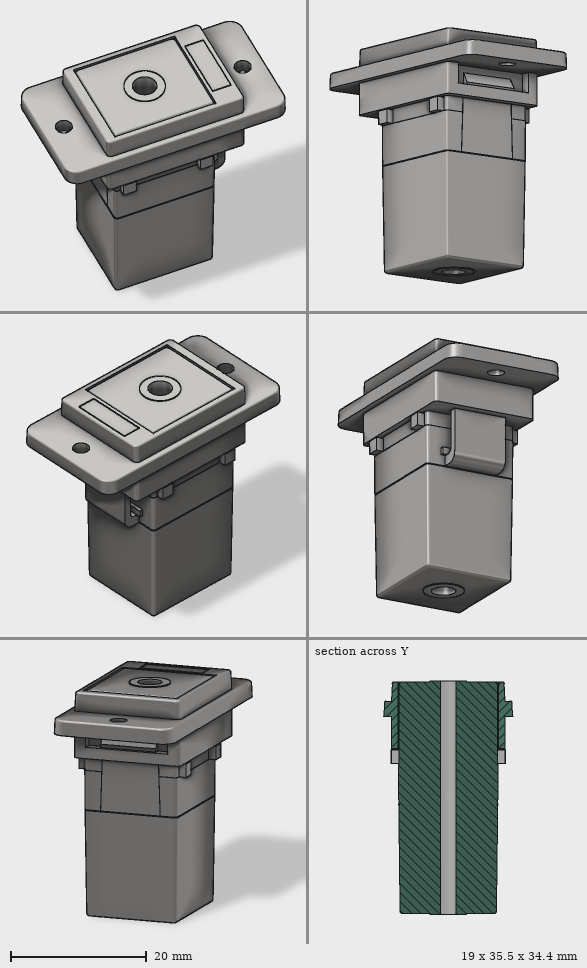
import cadquery as cq
import math


PLATE_LENGTH = 35.5
PLATE_WIDTH = 19.0
PLATE_THICKNESS = 2.27
PLATE_CORNER_RADIUS = 2.05
SIDE_DRAFT = 3.0
RIM_FILLET = 0.3
SCREW_HOLE_DIAMETER = 2.5
SCREW_HOLE_OFFSET = 14.45

HOUSING_WIDTH = 16.75
HOUSING_LENGTH = 22.15
HOUSING_CORNER_RADIUS = 0.7
BEZEL_TOP = 5.1
BOX_BOTTOM = -4.75
LABEL_WIDTH = 9.87
LABEL_LENGTH = 2.98
LABEL_CENTER_Y = 8.85
LABEL_DEPTH = 0.15
WINDOW_WIDTH = 12.92
WINDOW_HEIGHT = 3.05

INSERT_CENTER_Y = -1.4
NECK_WIDTH = 14.55
NECK_LENGTH = 16.2
NECK_CLEARANCE = 0.07
NECK_BOTTOM = -6.92
SEAM_Z = -13.0
SEAM_HEIGHT = 0.1
SEAM_DEPTH = 0.07
UPPER_BOTTOM = SEAM_Z + SEAM_HEIGHT
INSERT_BOTTOM = -29.0
BODY_WIDTH = 14.63
BODY_LENGTH = 16.2
UPPER_DRAFT = 0.3
LOWER_DRAFT = 0.7
INSERT_CORNER_RADIUS = 0.55
INSERT_BOTTOM_FILLET = 0.5
BORE_DIAMETER = 3.6
BOSS_DIAMETER = 6.1
BOSS_HEIGHT = 0.15

PANEL_BOTTOM_WIDTH = 9.37
PANEL_TOP_WIDTH = 8.6
PANEL_HEIGHT = 0.05
HOOK_TOP = -1.03
HOOK_RAMP_BOTTOM = -2.55
HOOK_DEPTH = 0.9

STOP_SPAN = 16.83
STOP_LENGTH = 2.05
STOP_SPACING = 12.42
STOP_TOP = -4.9

LATCH_WIDTH = 8.52
LATCH_OUTER_Y = 9.62
LATCH_THICKNESS = 1.15
LATCH_ARM_HEIGHT = 1.65
LATCH_TOP = 0.0
LATCH_OUTER_RADIUS = 1.53
LATCH_INNER_RADIUS = 0.8
LATCH_STOP_HEIGHT = 1.05
LATCH_STOP_LENGTH = 0.57
LATCH_STOP_WIDTH = 9.95


def block(width, length, bottom, top, center_y=0.0):
    """Upright rectangular block between two heights."""
    return (
        cq.Workplane("XY", origin=(0, center_y, bottom))
        .rect(width, length)
        .extrude(top - bottom)
    )


def side_drafted_block(width, length, bottom, top, corner_radius):
    """Rounded block whose two X sides lean inward towards the top."""
    half_bottom = width / 2
    half_top = half_bottom - (top - bottom) * math.tan(math.radians(SIDE_DRAFT))
    outline = [(-half_bottom, bottom), (half_bottom, bottom), (half_top, top), (-half_top, top)]
    body = cq.Workplane("XZ").polyline(outline).close().extrude(length / 2, both=True)
    body = body.edges("(not #Z) and (not |Y)").fillet(corner_radius)
    return body.faces(">Z").edges().fillet(RIM_FILLET)


def drafted_size(seam_size, z, draft):
    """Width or length of the insert body at height z; it shrinks downward."""
    return seam_size + 2 * (z - SEAM_Z) * math.tan(math.radians(draft))


def drafted_body(bottom, top, draft, inset=0.0):
    """Stretch of the drafted insert body, with rounded upright edges."""
    width = drafted_size(BODY_WIDTH, top, draft) - 2 * inset
    length = drafted_size(BODY_LENGTH, top, draft) - 2 * inset
    return (
        cq.Workplane("XY", origin=(0, INSERT_CENTER_Y, top))
        .rect(width, length)
        .extrude(bottom - top, taper=draft)
        .edges("not #Z")
        .fillet(INSERT_CORNER_RADIUS)
    )


def make_housing():
    """Mounting plate with its bezel and box, opened for the insert."""
    box = block(HOUSING_WIDTH, HOUSING_LENGTH, BOX_BOTTOM, PLATE_THICKNESS)
    box = box.edges("|Z").fillet(HOUSING_CORNER_RADIUS)
    plate = side_drafted_block(PLATE_WIDTH, PLATE_LENGTH, 0, PLATE_THICKNESS, PLATE_CORNER_RADIUS)
    bezel = side_drafted_block(
        HOUSING_WIDTH, HOUSING_LENGTH, PLATE_THICKNESS, BEZEL_TOP, HOUSING_CORNER_RADIUS
    )
    housing = plate.union(box).union(bezel)

    screw_holes = (
        cq.Workplane("XY")
        .pushPoints([(0, -SCREW_HOLE_OFFSET), (0, SCREW_HOLE_OFFSET)])
        .circle(SCREW_HOLE_DIAMETER / 2)
        .extrude(PLATE_THICKNESS)
    )

    opening_width = NECK_WIDTH + 2 * NECK_CLEARANCE
    opening_length = NECK_LENGTH + 2 * NECK_CLEARANCE
    opening = block(opening_width, opening_length, BOX_BOTTOM, BEZEL_TOP, INSERT_CENTER_Y)
    opening = opening.edges("|Z").fillet(INSERT_CORNER_RADIUS)
    square_rim = block(
        opening_width, opening_length, BEZEL_TOP - INSERT_CORNER_RADIUS, BEZEL_TOP, INSERT_CENTER_Y
    )
    opening = opening.union(square_rim)

    label_recess = block(LABEL_WIDTH, LABEL_LENGTH, BEZEL_TOP - LABEL_DEPTH, BEZEL_TOP, LABEL_CENTER_Y)
    latch_slot = block(
        LATCH_WIDTH, LATCH_THICKNESS, BOX_BOTTOM, LATCH_TOP, LATCH_OUTER_Y - LATCH_THICKNESS / 2
    )

    window_length = HOUSING_LENGTH / 2 + INSERT_CENTER_Y
    window = block(
        WINDOW_WIDTH, window_length, -WINDOW_HEIGHT, 0, INSERT_CENTER_Y - window_length / 2
    )
    return housing.cut(screw_holes).cut(opening).cut(label_recess).cut(latch_slot).cut(window)


def make_front_panel():
    """Raised front panel, narrowing upward, that ends in a ramped hook.

    The hook rests on the lower edge of the housing window.
    """
    drafted_front = INSERT_CENTER_Y - PANEL_HEIGHT
    neck_front = INSERT_CENTER_Y - NECK_LENGTH / 2
    hook_front = neck_front - HOOK_DEPTH
    panel_profile = [
        (INSERT_CENTER_Y, UPPER_BOTTOM),
        (drafted_front - drafted_size(BODY_LENGTH, UPPER_BOTTOM, UPPER_DRAFT) / 2, UPPER_BOTTOM),
        (drafted_front - drafted_size(BODY_LENGTH, BOX_BOTTOM, UPPER_DRAFT) / 2, BOX_BOTTOM),
        (INSERT_CENTER_Y, BOX_BOTTOM),
    ]
    hook_profile = [
        (INSERT_CENTER_Y, HOOK_TOP),
        (neck_front, HOOK_TOP),
        (hook_front, HOOK_RAMP_BOTTOM),
        (hook_front, -WINDOW_HEIGHT),
        (INSERT_CENTER_Y, -WINDOW_HEIGHT),
    ]
    half_bottom = PANEL_BOTTOM_WIDTH / 2
    half_top = PANEL_TOP_WIDTH / 2
    outline = [
        (-half_bottom, UPPER_BOTTOM),
        (half_bottom, UPPER_BOTTOM),
        (half_top, HOOK_TOP),
        (-half_top, HOOK_TOP),
    ]
    panel = cq.Workplane("YZ").polyline(panel_profile).close().extrude(half_bottom, both=True)
    hook = cq.Workplane("YZ").polyline(hook_profile).close().extrude(half_bottom, both=True)
    tapered_outline = cq.Workplane("XZ").polyline(outline).close().extrude(HOUSING_LENGTH / 2)
    return panel.union(hook).intersect(tapered_outline)


def make_side_stops():
    """Two stops on each side, just below the housing box."""
    stops = block(STOP_SPAN, STOP_LENGTH, NECK_BOTTOM, STOP_TOP, INSERT_CENTER_Y - STOP_SPACING / 2)
    return stops.union(stops.translate((0, STOP_SPACING, 0)))


def make_spring_latch():
    """L-shaped latch that leaves the back just above the seam and rises into the housing."""
    latch_inner_y = LATCH_OUTER_Y - LATCH_THICKNESS
    arm_top = UPPER_BOTTOM + LATCH_ARM_HEIGHT
    profile = [
        (INSERT_CENTER_Y, UPPER_BOTTOM),
        (LATCH_OUTER_Y, UPPER_BOTTOM),
        (LATCH_OUTER_Y, LATCH_TOP),
        (latch_inner_y, LATCH_TOP),
        (latch_inner_y, arm_top),
        (INSERT_CENTER_Y, arm_top),
    ]
    latch = cq.Workplane("YZ").polyline(profile).close().extrude(LATCH_WIDTH / 2, both=True)
    latch = latch.edges("|X and >Y and <Z").fillet(LATCH_OUTER_RADIUS)
    inner_corner = cq.selectors.NearestToPointSelector((0, latch_inner_y, arm_top))
    latch = latch.edges("|X").edges(inner_corner).fillet(LATCH_INNER_RADIUS)

    stop_end_y = INSERT_CENTER_Y + BODY_LENGTH / 2 + LATCH_STOP_LENGTH
    stop_length = stop_end_y - INSERT_CENTER_Y
    stop = block(
        LATCH_STOP_WIDTH, stop_length, arm_top, arm_top + LATCH_STOP_HEIGHT, stop_end_y - stop_length / 2
    )
    return latch.union(stop)


def make_insert():
    """Tapered insert with a through bore, snapped into the housing."""
    neck = block(NECK_WIDTH, NECK_LENGTH, NECK_BOTTOM, BEZEL_TOP, INSERT_CENTER_Y)
    neck = neck.edges("|Z or >Z").fillet(INSERT_CORNER_RADIUS)
    upper = drafted_body(UPPER_BOTTOM, NECK_BOTTOM, UPPER_DRAFT)
    seam = drafted_body(SEAM_Z, UPPER_BOTTOM, UPPER_DRAFT, SEAM_DEPTH)
    lower = drafted_body(INSERT_BOTTOM, SEAM_Z, LOWER_DRAFT)
    lower = lower.faces("<Z").edges().fillet(INSERT_BOTTOM_FILLET)
    insert = neck.union(upper).union(seam).union(lower)
    insert = insert.union(make_front_panel())
    insert = insert.union(make_side_stops()).union(make_spring_latch())

    sleeve_bottom = INSERT_BOTTOM - BOSS_HEIGHT
    sleeve_height = BEZEL_TOP + BOSS_HEIGHT - sleeve_bottom
    axis = cq.Workplane("XY", origin=(0, INSERT_CENTER_Y, sleeve_bottom))
    sleeve = axis.circle(BOSS_DIAMETER / 2).extrude(sleeve_height)
    bore = axis.circle(BORE_DIAMETER / 2).extrude(sleeve_height)
    return insert.union(sleeve).cut(bore)


housing = make_housing()
insert = make_insert()
result = cq.Compound.makeCompound([housing.val(), insert.val()])